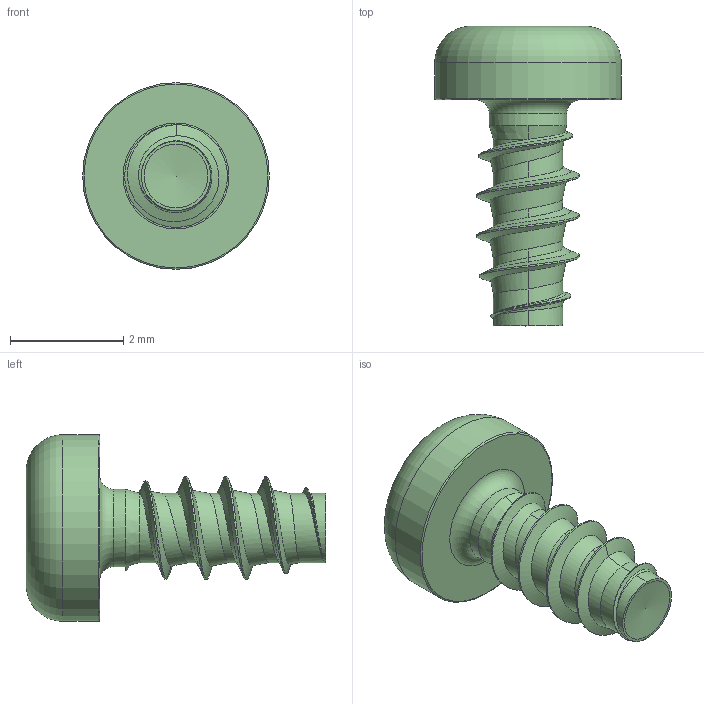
import cadquery as cq
import math


head_radius = 1.65
head_height = 1.3
head_dome_radius = 0.65
head_edge_radius = 0.025

shank_length = 4.0
neck_radius = 0.685
neck_fillet = 0.25
neck_length = 0.46
neck_taper_length = 0.25
core_radius = 0.612

dish_radius = 0.565
dish_depth = 0.05

pitch = 0.71
thread_height = 0.295
crest_half_width = 0.015
shoulder_offset = 0.075
shoulder_height = 0.135
foot_depth = 0.02
head_side_foot = 0.16
tip_side_foot = 0.09
land_height = 0.06
land_end = 0.51
root_overlap = 0.04
thread_start = 0.28
thread_start_angle = -math.pi
lead_in_turns = 1.25
full_turns = 2.5
lead_out_turns = 1.5
start_scale = 0.4
finish_scale = 0.06
points_per_turn = 16

thread_profile = [
    (-head_side_foot, -foot_depth),
    (-shoulder_offset, shoulder_height),
    (-crest_half_width, thread_height),
    (crest_half_width, thread_height),
    (tip_side_foot, land_height),
    (land_end, -foot_depth),
]


def make_body():
    """Revolve the head, neck, core and dished end around the Y axis."""
    arc_middle = math.sqrt(0.5)
    dome_centre = (head_radius - head_dome_radius, head_height - head_dome_radius)
    edge_centre = (head_radius - head_edge_radius, head_edge_radius)
    fillet_centre = (neck_radius + neck_fillet, -neck_fillet)

    def diagonal_point(centre, radius, x_sign, y_sign):
        reach = radius * arc_middle
        return (centre[0] + x_sign * reach, centre[1] + y_sign * reach)

    half_section = (
        cq.Workplane(cq.Plane(origin=(0, 0, 0), xDir=(0, 0, 1), normal=(-1, 0, 0)))
        .moveTo(0, head_height)
        .lineTo(dome_centre[0], head_height)
        .threePointArc(
            diagonal_point(dome_centre, head_dome_radius, 1, 1),
            (head_radius, dome_centre[1]),
        )
        .lineTo(head_radius, head_edge_radius)
        .threePointArc(
            diagonal_point(edge_centre, head_edge_radius, 1, -1),
            (edge_centre[0], 0),
        )
        .lineTo(fillet_centre[0], 0)
        .threePointArc(
            diagonal_point(fillet_centre, neck_fillet, -1, 1),
            (neck_radius, -neck_fillet),
        )
        .lineTo(neck_radius, -neck_length)
        .lineTo(core_radius, -neck_length - neck_taper_length)
        .lineTo(core_radius, -shank_length)
        .lineTo(dish_radius, -shank_length)
        .lineTo(0, dish_depth - shank_length)
        .close()
    )
    return half_section.revolve(360, (0, 0, 0), (0, 1, 0))


def thread_section(turn, scale):
    """Corners of the thread cross-section after a number of turns."""
    angle = thread_start_angle + 2 * math.pi * turn
    crest_distance = thread_start + pitch * turn
    corners = [
        (offset * scale, (height + foot_depth) * scale - foot_depth)
        for offset, height in thread_profile
    ]
    corners.append((land_end * scale, -root_overlap))
    corners.append((-head_side_foot * scale, -root_overlap))
    section = []
    for offset, height in corners:
        radius = core_radius + height
        section.append(
            cq.Vector(
                radius * math.cos(angle),
                -(crest_distance + offset),
                radius * math.sin(angle),
            )
        )
    return section


def thread_stretch(first_turn, turns, first_scale, last_scale):
    """Solid length of thread whose cross-section changes size steadily."""
    steps = math.ceil(turns * points_per_turn)
    sections = []
    for step in range(steps + 1):
        share = step / steps
        scale = first_scale + (last_scale - first_scale) * share
        sections.append(thread_section(first_turn + turns * share, scale))
    paths = [cq.Edge.makeSpline(list(corner_track)) for corner_track in zip(*sections)]
    next_paths = paths[1:] + paths[:1]
    faces = [cq.Face.makeRuledSurface(path, other) for path, other in zip(paths, next_paths)]
    for section in (sections[0], sections[-1]):
        faces.append(cq.Face.makeFromWires(cq.Wire.makePolygon(section, close=True)))
    return cq.Solid.makeSolid(cq.Shell.makeShell(faces)).fix()


def make_thread():
    """Join lead-in, full and lead-out thread and trim them to the threaded length."""
    full_start = lead_in_turns
    lead_out_start = full_start + full_turns
    lead_in = thread_stretch(0, lead_in_turns, start_scale, 1)
    full = thread_stretch(full_start, full_turns, 1, 1)
    lead_out = thread_stretch(lead_out_start, lead_out_turns, 1, finish_scale)
    threaded_length = (
        cq.Workplane("XZ", origin=(0, -neck_length, 0))
        .circle(head_radius)
        .extrude(shank_length - neck_length)
    )
    return cq.Workplane(lead_in).union(full).union(lead_out).intersect(threaded_length)


result = make_body().union(make_thread())